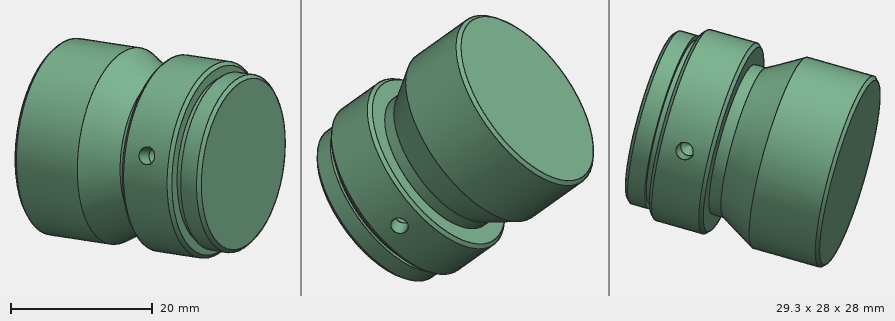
import cadquery as cq
import math

length = 29.3
body_radius = 14.0
chamfer = 0.5

neck_radius = 11.0
groove_radius = 12.0
end_radius = 12.7

head_end = 10.3
taper_end = 15.53
collar_start = 17.3
collar_end = 25.3
end_start = 26.25

hole_diameter = 2.5
hole_depth = 3.0
hole_tip_angle = 90.0
hole_count = 3
first_hole_angle = 45.6
hole_x = (collar_start + collar_end) / 2


def turned_body():
    """Revolve the half profile: head, taper, neck, collar, groove and end disc."""
    profile = [
        (0, 0),
        (0, body_radius - chamfer),
        (chamfer, body_radius),
        (head_end, body_radius),
        (taper_end, neck_radius),
        (collar_start, neck_radius),
        (collar_start, body_radius - chamfer),
        (collar_start + chamfer, body_radius),
        (collar_end - chamfer, body_radius),
        (collar_end, body_radius - chamfer),
        (collar_end, groove_radius),
        (end_start, groove_radius),
        (end_start, end_radius),
        (length - chamfer, end_radius),
        (length, end_radius - chamfer),
        (length, 0),
    ]
    return cq.Workplane("XY").polyline(profile).close().revolve(360, (0, 0, 0), (1, 0, 0))


def radial_hole(angle):
    """Cutter for a blind hole with a conical bottom, pointing at the axis."""
    radius = hole_diameter / 2
    floor = body_radius - hole_depth
    tip = floor - radius / math.tan(math.radians(hole_tip_angle / 2))
    half_section = [
        (hole_x, tip),
        (hole_x + radius, floor),
        (hole_x + radius, body_radius),
        (hole_x, body_radius),
    ]
    cutter = cq.Workplane("XY").polyline(half_section).close()
    cutter = cutter.revolve(360, (hole_x, 0, 0), (hole_x, 1, 0))
    return cutter.rotate((0, 0, 0), (1, 0, 0), angle)


result = turned_body()
for index in range(hole_count):
    result = result.cut(radial_hole(first_hole_angle + index * 360 / hole_count))